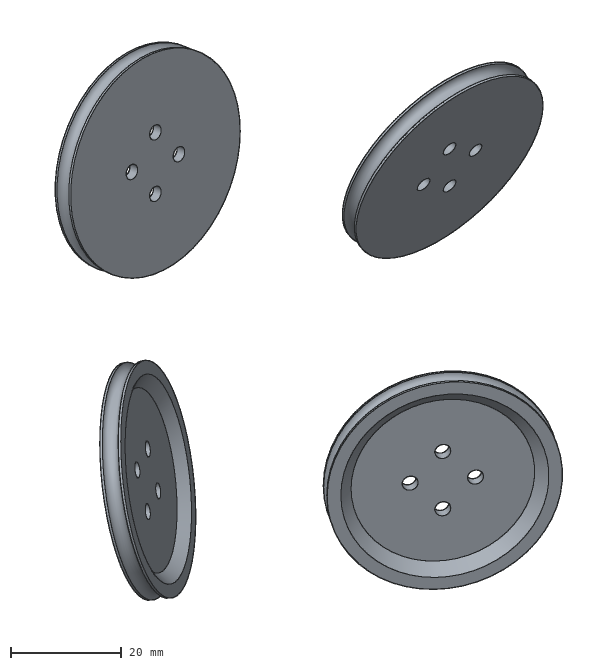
import cadquery as cq

OUTER_DIAMETER = 43.2
WIDTH = 4.0
GROOVE_RADIUS = 1.5

RIM_WIDTH = 2.5
RECESS_MOUTH_RADIUS = OUTER_DIAMETER / 2 - RIM_WIDTH
RECESS_FLOOR_RADIUS = 16.85
RECESS_DEPTH = WIDTH / 2

HOLE_DIAMETER = 2.9
HOLE_CIRCLE_RADIUS = 6.0
HOLE_COUNT = 4


def make_wheel():
    """Revolve the wheel section (x along the axis, y radial) about X."""
    outer_radius = OUTER_DIAMETER / 2
    half_width = WIDTH / 2
    floor_x = -half_width + RECESS_DEPTH
    section = (
        cq.Workplane("XY")
        .moveTo(floor_x, 0)
        .lineTo(floor_x, RECESS_FLOOR_RADIUS)
        .lineTo(-half_width, RECESS_MOUTH_RADIUS)
        .lineTo(-half_width, outer_radius)
        .lineTo(-GROOVE_RADIUS, outer_radius)
        .threePointArc((0, outer_radius - GROOVE_RADIUS), (GROOVE_RADIUS, outer_radius))
        .lineTo(half_width, outer_radius)
        .lineTo(half_width, 0)
        .close()
    )
    return section.revolve(360, (0, 0, 0), (1, 0, 0))


def make_mounting_holes():
    """Cylinders evenly spaced on the hole circle, running the full width."""
    return (
        cq.Workplane("YZ", origin=(-WIDTH / 2, 0, 0))
        .polarArray(HOLE_CIRCLE_RADIUS, 0, 360, HOLE_COUNT)
        .circle(HOLE_DIAMETER / 2)
        .extrude(WIDTH)
    )


result = make_wheel().cut(make_mounting_holes())